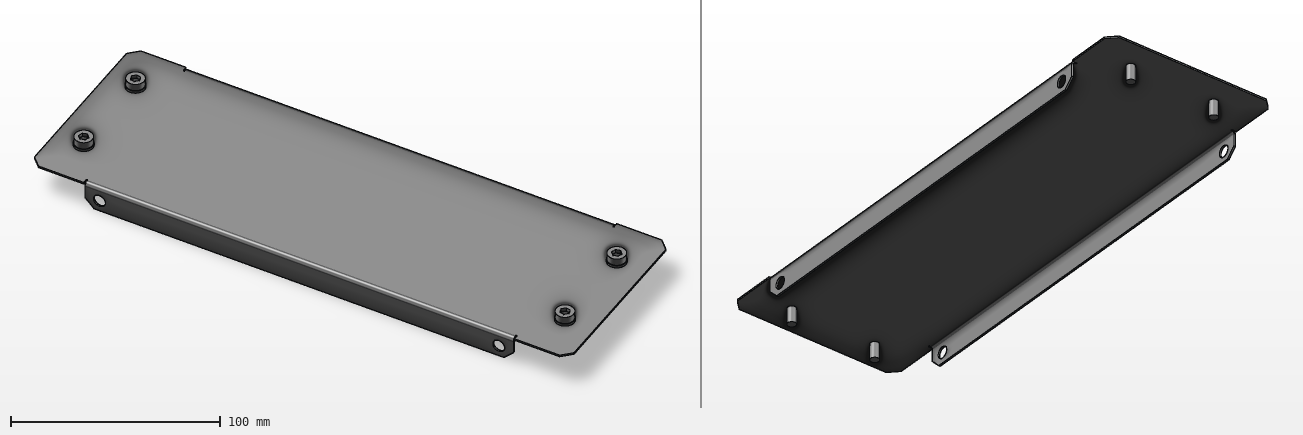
import cadquery as cq

total_height = 19.2

plate_length = 296.0
plate_width = 99.0
sheet_thickness = 1.0
corner_chamfer = 5.0

flange_length = 235.0
flange_chamfer = 5.0
bend_outer_radius = 2.0
bend_inner_radius = bend_outer_radius - sheet_thickness
relief_width = 0.5
relief_depth = 2.7
flange_hole_diameter = 6.5
flange_hole_spacing = 219.0
flange_hole_drop = 8.0

screw_spacing_x = 264.0
screw_spacing_y = 50.0
shank_diameter = 4.7
head_diameter = 9.5
head_height = 3.8
socket_width = 4.5
socket_depth = 2.0
socket_turn = 45.0
washer_diameter = 10.0
washer_thickness = 1.33
screw_tip_depth = 10.0

head_top = washer_thickness + head_height
flange_height = total_height - head_top

screw_points = [
    (x, y)
    for x in (-screw_spacing_x / 2, screw_spacing_x / 2)
    for y in (-screw_spacing_y / 2, screw_spacing_y / 2)
]


def make_sheet():
    """Flat sheet with chamfered corners and both edges cut back for the flanges and reliefs."""
    sheet = (
        cq.Workplane("XY")
        .box(plate_length, plate_width, sheet_thickness, centered=(True, True, False))
        .translate((0, 0, -sheet_thickness))
        .edges("|Z")
        .chamfer(corner_chamfer)
    )
    for side in (-1, 1):
        cutout_length = flange_length + 2 * relief_width
        notch = cq.Workplane("XY").box(cutout_length, 2 * relief_depth, 2 * sheet_thickness)
        sheet = sheet.cut(notch.translate((0, side * plate_width / 2, 0)))
    return sheet


def make_flange():
    """Flange folded down along the -Y edge, joined to the sheet by a round bend."""
    outer_y = -plate_width / 2
    inner_y = outer_y + sheet_thickness
    bend_y = outer_y + bend_outer_radius
    profile = (
        cq.Workplane("YZ")
        .moveTo(outer_y + relief_depth, 0)
        .lineTo(bend_y, 0)
        .radiusArc((outer_y, -bend_outer_radius), -bend_outer_radius)
        .lineTo(outer_y, -flange_height)
        .lineTo(inner_y, -flange_height)
        .lineTo(inner_y, -bend_outer_radius)
        .radiusArc((bend_y, -sheet_thickness), bend_inner_radius)
        .lineTo(outer_y + relief_depth, -sheet_thickness)
        .close()
    )
    flange = profile.extrude(flange_length / 2, both=True)
    flange = flange.faces("<Z").edges("|Y").chamfer(flange_chamfer)
    holes = (
        cq.Workplane("XZ", origin=(0, inner_y, -flange_hole_drop))
        .pushPoints([(-flange_hole_spacing / 2, 0), (flange_hole_spacing / 2, 0)])
        .circle(flange_hole_diameter / 2)
        .extrude(2 * sheet_thickness, both=True)
    )
    return flange.cut(holes)


def make_plate():
    """One-piece cover plate with both flanges and the screw clearance holes."""
    flange = make_flange()
    screw_holes = (
        cq.Workplane("XY")
        .pushPoints(screw_points)
        .circle(shank_diameter / 2)
        .extrude(sheet_thickness, both=True)
    )
    return make_sheet().union(flange).union(flange.mirror("XZ")).cut(screw_holes)


def make_washer(x, y):
    """Flat washer resting on the plate."""
    return (
        cq.Workplane("XY", origin=(x, y, 0))
        .circle(washer_diameter / 2)
        .circle(shank_diameter / 2)
        .extrude(washer_thickness)
    )


def make_screw(x, y):
    """Cylinder-head screw with a hexagon socket, its head resting on the washer."""
    shank = (
        cq.Workplane("XY", origin=(x, y, -screw_tip_depth))
        .circle(shank_diameter / 2)
        .extrude(screw_tip_depth + washer_thickness)
    )
    head = (
        cq.Workplane("XY", origin=(x, y, washer_thickness))
        .circle(head_diameter / 2)
        .extrude(head_height)
    )
    socket = (
        cq.Workplane("XY", origin=(x, y, head_top))
        .polygon(6, socket_width, circumscribed=True)
        .extrude(-socket_depth)
    )
    corner_angle = socket_turn if x * y > 0 else -socket_turn
    socket = socket.rotate((x, y, 0), (x, y, 1), corner_angle)
    return shank.union(head).cut(socket)


plate = make_plate()
washers = [make_washer(x, y) for x, y in screw_points]
screws = [make_screw(x, y) for x, y in screw_points]

result = cq.Compound.makeCompound(
    [plate.val()] + [washer.val() for washer in washers] + [screw.val() for screw in screws]
)